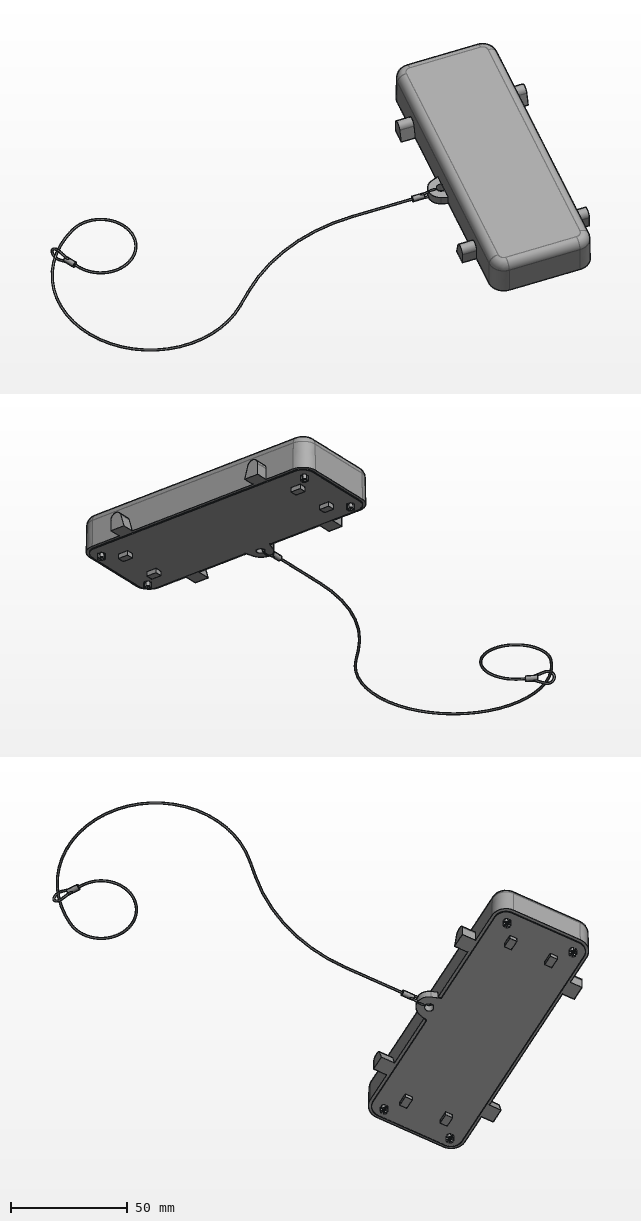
import cadquery as cq
import math


shell_length = 123.0
shell_width = 46.0
shell_height = 17.0
shell_draft = 1
corner_radius = 6.8
top_fillet = 4.0

gasket_inset = 1.4
gasket_depth = 0.57

peg_back = 28.8
peg_front = 29.5
peg_outer_x = 40.0
peg_inner_x = 32.9
peg_height = 8.0
peg_radius = 2.7

foot_depth = 2.7
pad_size = (5.0, 3.5)
pad_place = (47.0, 9.8)
pin_diameter = 3.5
pin_slot = 1.0
pin_place = (55.2, 16.0)

lug_root_half = 6.6
lug_tip_radius = 5.5
lug_tip_y = -29.7
lug_top = 3.7
lug_hole_y = -24.0
lug_hole_diameter = 3.9

overall_y = 228.3
cord_radius = 0.5
cord_z = 1.5
cord_bend_y = -64.5
sweep_radius = 42.0
loop_radius = 15.0
loop_angle = 211
tail_length = 11.6
lug_eye_y = -27.6
lug_eye_radius = 2.0
loop_eye_radius = 3.0
leg_gap = 0.2
sleeve_start = 4.0
sleeve_length = 5.3
sleeve_diameter = 2.5


def polar(center, radius, degrees):
    """Point on a circle at the given angle."""
    angle = math.radians(degrees)
    return (center[0] + radius * math.cos(angle), center[1] + radius * math.sin(angle))


def tangent_point(center, radius, point, side):
    """Where a line from an outside point touches a circle; side (+1 or -1) picks one of the two."""
    dx = point[0] - center[0]
    dy = point[1] - center[1]
    spread = math.acos(radius / math.hypot(dx, dy))
    return polar(center, radius, math.degrees(math.atan2(dy, dx) + side * spread))


def make_shell():
    block = (
        cq.Workplane("XY")
        .sketch()
        .rect(shell_length, shell_width)
        .vertices()
        .fillet(corner_radius)
        .finalize()
        .extrude(shell_height, taper=shell_draft)
    )
    return block.faces(">Z").edges().fillet(top_fillet)


def make_gasket():
    return (
        cq.Workplane("XY")
        .rect(shell_length - 2 * gasket_inset, shell_width - 2 * gasket_inset)
        .extrude(-gasket_depth)
        .edges("|Z")
        .fillet(corner_radius - gasket_inset)
    )


def make_left_pegs():
    """Bar across the shell: upright outer side, round top, sloping inner side."""
    center = (peg_radius - peg_outer_x, peg_height - peg_radius)
    foot = (-peg_inner_x, 0)
    return (
        cq.Workplane("XZ", origin=(0, peg_back, 0))
        .moveTo(-peg_outer_x, 0)
        .lineTo(-peg_outer_x, center[1])
        .threePointArc((center[0], peg_height), tangent_point(center, peg_radius, foot, 1))
        .lineTo(*foot)
        .close()
        .extrude(peg_back + peg_front)
    )


def at_corners(place, start_z):
    """Work points at the four mirrored positions of place, at height start_z."""
    plane = cq.Workplane("XY", origin=(0, 0, start_z))
    return plane.rect(2 * place[0], 2 * place[1], forConstruction=True).vertices()


def make_feet():
    """Rectangular pads and cross-slotted pins, one of each near every corner."""
    pads = at_corners(pad_place, 0).rect(*pad_size).extrude(-foot_depth)
    pins = at_corners(pin_place, 0).circle(pin_diameter / 2).extrude(-foot_depth)
    slot_depth = foot_depth - gasket_depth
    for slot_size in ((pin_slot, pin_diameter), (pin_diameter, pin_slot)):
        pins = pins.cut(at_corners(pin_place, -foot_depth).rect(*slot_size).extrude(slot_depth))
    return pads.union(pins)


def make_lug():
    """Tongue tapering to a round tip, with a hole for the cord."""
    root_y = gasket_inset - shell_width / 2
    center = (0, lug_tip_y + lug_tip_radius)
    touch = tangent_point(center, lug_tip_radius, (lug_root_half, root_y), -1)
    return (
        cq.Workplane("XY", origin=(0, 0, -gasket_depth))
        .moveTo(-lug_root_half, root_y)
        .lineTo(-touch[0], touch[1])
        .threePointArc((0, lug_tip_y), touch)
        .lineTo(lug_root_half, root_y)
        .close()
        .extrude(lug_top + gasket_depth)
    )


def make_lug_hole():
    return (
        cq.Workplane("XY", origin=(0, lug_hole_y, -gasket_depth))
        .circle(lug_hole_diameter / 2)
        .extrude(lug_top + gasket_depth)
    )


def make_eyelet(eye_radius, center, direction):
    """Upright wire eye at center, with a crimp sleeve lying in the given direction from it."""
    leg_z = cord_radius + leg_gap / 2
    leg_x = sleeve_start + sleeve_length / 2
    leg_end = (leg_x, leg_z)
    touch = tangent_point((0, 0), eye_radius, leg_end, 1)
    path = (
        cq.Workplane("XZ")
        .moveTo(*leg_end)
        .lineTo(*touch)
        .threePointArc((-eye_radius, 0), (touch[0], -touch[1]))
        .lineTo(leg_x, -leg_z)
    )
    start = cq.Plane(
        origin=(leg_x, 0, leg_z),
        xDir=(0, 1, 0),
        normal=(touch[0] - leg_x, 0, touch[1] - leg_z),
    )
    wire = cq.Workplane(start).circle(cord_radius).sweep(path)
    sleeve = (
        cq.Workplane("YZ", origin=(sleeve_start, 0, 0))
        .circle(sleeve_diameter / 2)
        .extrude(sleeve_length)
    )
    return wire.union(sleeve).rotate((0, 0, 0), (0, 0, 1), direction).translate((*center, cord_z))


def make_cord():
    """Straight out of the lug, bend, 45 degree run, wide sweep, small loop, tail to the loop eyelet."""
    start = (0, lug_eye_y - sleeve_start - sleeve_length / 2)
    bend_start = (0, cord_bend_y)
    run_end = polar(sweep_center, sweep_radius, 45)
    bend_radius = (cord_bend_y - run_end[0] - run_end[1]) / (math.sqrt(2) - 1)
    bend_center = (bend_radius, cord_bend_y)
    sleeve_middle = polar(loop_eye, sleeve_start + sleeve_length / 2, loop_angle + 180)
    path = (
        cq.Workplane("XY", origin=(0, 0, cord_z))
        .moveTo(*start)
        .lineTo(*bend_start)
        .threePointArc(polar(bend_center, bend_radius, 202.5), polar(bend_center, bend_radius, 225))
        .lineTo(*run_end)
        .threePointArc(polar(sweep_center, sweep_radius, -50), polar(sweep_center, sweep_radius, loop_angle))
        .threePointArc(polar(loop_center, loop_radius, loop_angle - 135), tail_start)
        .lineTo(*sleeve_middle)
    )
    return cq.Workplane("XZ", origin=(*start, cord_z)).circle(cord_radius).sweep(path)


sweep_center = (0, peg_back - overall_y + cord_radius + sweep_radius)
loop_center = polar(sweep_center, sweep_radius - loop_radius, loop_angle)
tail_start = polar(loop_center, loop_radius, loop_angle + 90)
loop_eye = polar(tail_start, tail_length, loop_angle)

left_pegs = make_left_pegs()
result = (
    make_shell()
    .union(make_gasket())
    .union(left_pegs)
    .union(left_pegs.mirror("YZ"))
    .union(make_feet())
    .union(make_lug())
    .cut(make_lug_hole())
    .union(make_eyelet(lug_eye_radius, (0, lug_eye_y), -90))
    .union(make_eyelet(loop_eye_radius, loop_eye, loop_angle + 180))
    .union(make_cord())
)